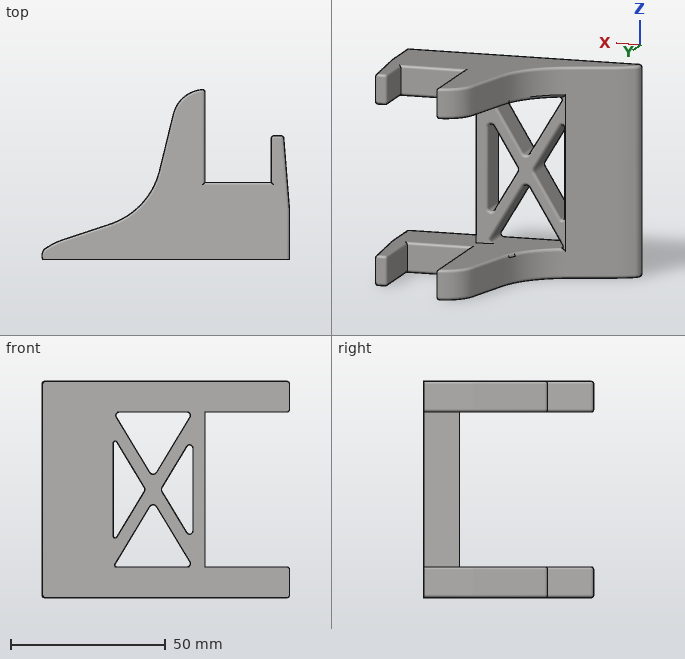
import cadquery as cq
import math

LENGTH = 80.1
HEIGHT = 70.0
DEPTH = 55.05

PLATE = 10.0
SPINE_LENGTH = 52.8
SPINE_DEPTH = 11.6
EDGE_RADIUS = 1.0

TOP_SLOT_FLOOR = 25.0
BOTTOM_SLOT_FLOOR = 18.0
SLOT_WIDTH = 21.3
FINGER_TOP = 40.1
FINGER_OUTER = 78.2
TAPER_START = 16.0

TOE_MIDDLE = (1.3, 3.7)
TOE_END_X = 6.8
BACK_CORNER = (34.85, 15.7)
BACK_RADIUS = 24.0
SHALLOW_ANGLE = math.radians(18.3)
STEEP_ANGLE = math.radians(76.3)

WINDOW_WIDTH = 25.65
WINDOW_MARGIN = 4.0
APEX_GAP_Z = 3.8
APEX_GAP_X = 2.5
CORNER_RADIUS = 1.05
SMALL_RADIUS = 0.6
APEX_RADIUS_Z = 1.3
APEX_RADIUS_X = 1.5

SELECT_MARGIN = 0.1

slot_end = SPINE_LENGTH + SLOT_WIDTH
mid_z = HEIGHT / 2
window_right = SPINE_LENGTH - WINDOW_MARGIN
window_mid = window_right - WINDOW_WIDTH / 2


def along_run(distance, angle):
    """Point on a straight run of the back, at a signed distance from the back corner."""
    corner_x, corner_y = BACK_CORNER
    return corner_x + distance * math.cos(angle), corner_y + distance * math.sin(angle)


def arc_middle(start, end, start_angle, end_angle):
    """Middle point of the arc from start to end whose heading turns between the two angles."""
    chord = math.dist(start, end)
    bulge = chord / 2 * math.tan((end_angle - start_angle) / 4)
    heading = (start_angle + end_angle) / 2
    middle_x = (start[0] + end[0]) / 2 + bulge * math.sin(heading)
    middle_y = (start[1] + end[1]) / 2 - bulge * math.cos(heading)
    return middle_x, middle_y


def profile(slot_floor):
    """Closed outline of a side plate in the XY plane, for a given depth of slot."""
    back_tangent = BACK_RADIUS * math.tan((STEEP_ANGLE - SHALLOW_ANGLE) / 2)
    back_start = along_run(-back_tangent, SHALLOW_ANGLE)
    back_end = along_run(back_tangent, STEEP_ANGLE)
    toe_end = along_run((TOE_END_X - BACK_CORNER[0]) / math.cos(SHALLOW_ANGLE), SHALLOW_ANGLE)

    middle_x, middle_y = TOE_MIDDLE
    toe_rise = math.atan2(toe_end[1] - middle_y, toe_end[0] - middle_x)
    middle_angle = 2 * toe_rise - SHALLOW_ANGLE
    toe_radius = middle_x / (1 - math.sin(middle_angle))
    nose_y = middle_y - toe_radius * math.cos(middle_angle)
    toe_start = (toe_radius - math.sqrt(toe_radius**2 - nose_y**2), 0)

    peak_distance = (DEPTH - BACK_CORNER[1]) / math.sin(STEEP_ANGLE)
    horn_end = (SPINE_LENGTH, DEPTH)
    horn_tangent = SPINE_LENGTH - along_run(peak_distance, STEEP_ANGLE)[0]
    horn_start = along_run(peak_distance - horn_tangent, STEEP_ANGLE)

    return (
        cq.Workplane("XY")
        .moveTo(*horn_start)
        .lineTo(*back_end)
        .threePointArc(arc_middle(back_start, back_end, SHALLOW_ANGLE, STEEP_ANGLE), back_start)
        .lineTo(*toe_end)
        .tangentArcPoint(TOE_MIDDLE, relative=False)
        .tangentArcPoint(toe_start, relative=False)
        .lineTo(LENGTH, 0)
        .lineTo(LENGTH, TAPER_START)
        .lineTo(FINGER_OUTER, FINGER_TOP)
        .lineTo(slot_end, FINGER_TOP)
        .lineTo(slot_end, slot_floor)
        .lineTo(SPINE_LENGTH, slot_floor)
        .lineTo(*horn_end)
        .threePointArc(arc_middle(horn_start, horn_end, STEEP_ANGLE, 0), horn_start)
        .close()
    )


def plate(bottom_z, slot_floor):
    """Side plate with rounded tips and rounded rims, sharp only along the front face."""
    tips = [(SPINE_LENGTH, DEPTH), (slot_end, FINGER_TOP), (FINGER_OUTER, FINGER_TOP)]
    body = profile(slot_floor).extrude(PLATE)
    for x, y in tips:
        body = body.edges(cq.selectors.NearestToPointSelector((x, y, PLATE / 2))).fillet(EDGE_RADIUS)
    rims = body.faces("<Z or >Z").edges("not <Y")
    return rims.fillet(EDGE_RADIUS).translate((0, 0, bottom_z))


def spine():
    """Wall joining the plates, following their curved back up to its own depth."""
    limit = cq.Workplane("XY").box(SPINE_LENGTH, SPINE_DEPTH, HEIGHT, centered=False)
    return profile(TOP_SLOT_FLOOR).extrude(HEIGHT - PLATE).translate((0, 0, PLATE / 2)).intersect(limit)


def triangle_cutter(points, radii):
    """Triangular through-cutter in the XZ plane with a rounding radius for each corner."""
    cutter = cq.Workplane("XZ").polyline(points).close().extrude(-SPINE_DEPTH)
    for (x, z), radius in zip(points, radii):
        corner = cq.selectors.NearestToPointSelector((x, SPINE_DEPTH / 2, z))
        cutter = cutter.edges(corner).fillet(radius)
    return cutter


def window_cutters():
    """Four triangles left between the crossed braces."""
    half_width = WINDOW_WIDTH / 2
    tall = mid_z - PLATE
    brace_slope = (tall - APEX_GAP_Z) / half_width
    side = brace_slope * (half_width - APEX_GAP_X)
    left = window_mid - half_width
    for direction, left_radius in ((1, CORNER_RADIUS), (-1, SMALL_RADIUS)):
        base = mid_z + direction * tall
        points = [(left, base), (window_right, base), (window_mid, mid_z + direction * APEX_GAP_Z)]
        yield triangle_cutter(points, (left_radius, CORNER_RADIUS, APEX_RADIUS_Z))
    for direction, base_radius in ((1, CORNER_RADIUS), (-1, SMALL_RADIUS)):
        base = window_mid + direction * half_width
        points = [(base, mid_z + side), (base, mid_z - side), (window_mid + direction * APEX_GAP_X, mid_z)]
        yield triangle_cutter(points, (base_radius, base_radius, APEX_RADIUS_X))


def braced_spine():
    """Spine with its window cut out and the rear rims of the window rounded."""
    body = spine()
    for cutter in window_cutters():
        body = body.cut(cutter)
    window_left = window_right - WINDOW_WIDTH
    window_bounds = cq.selectors.BoxSelector(
        (window_left - SELECT_MARGIN, SPINE_DEPTH - SELECT_MARGIN, PLATE - SELECT_MARGIN),
        (window_right + SELECT_MARGIN, SPINE_DEPTH + SELECT_MARGIN, HEIGHT - PLATE + SELECT_MARGIN),
    )
    return body.faces(">Y").edges(window_bounds).fillet(EDGE_RADIUS)


result = (
    plate(0, BOTTOM_SLOT_FLOOR)
    .union(plate(HEIGHT - PLATE, TOP_SLOT_FLOOR))
    .union(braced_spine())
)